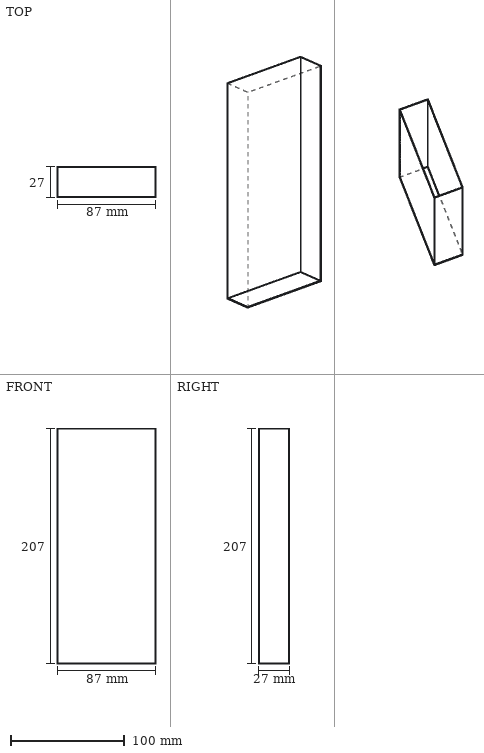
import cadquery as cq

width = 87.0
depth = 27.0
height = 207.0
wall = 0.5
floor = 0.5

outer = cq.Workplane("XY").box(width, depth, height, centered=(True, True, False))

cavity = (
    cq.Workplane("XY")
    .workplane(offset=floor)
    .box(width - 2 * wall, depth - 2 * wall, height - floor, centered=(True, True, False))
)

result = outer.cut(cavity)